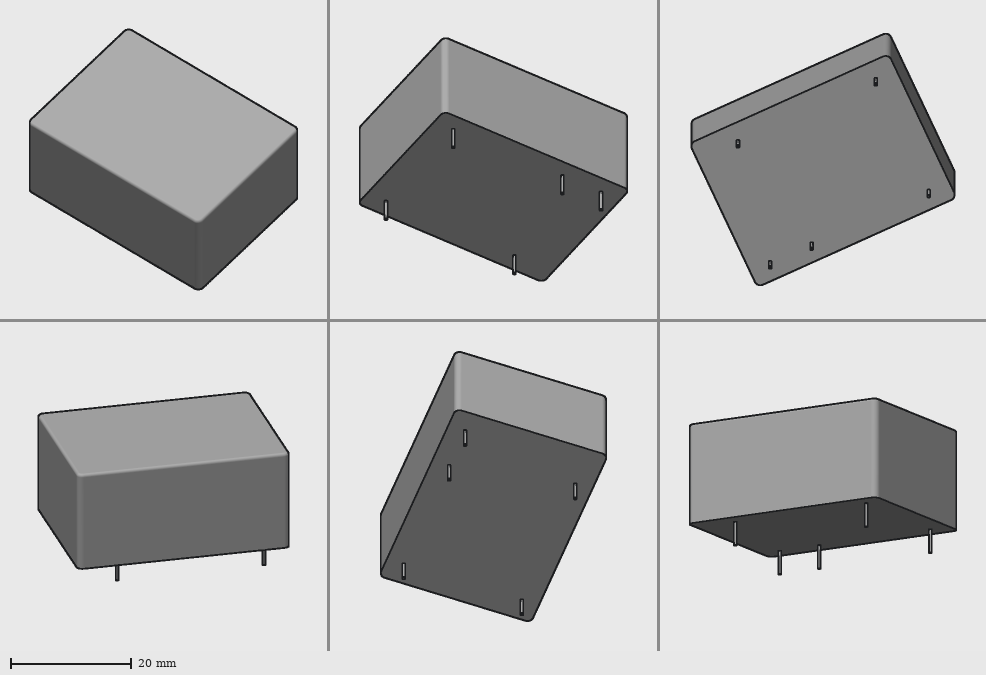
import cadquery as cq

LENGTH = 36.5
WIDTH = 27.0
TOTAL_HEIGHT = 21.1
PIN_LENGTH = 4.0
HOUSING_HEIGHT = TOTAL_HEIGHT - PIN_LENGTH

CORNER_RADIUS = 1.02
TOP_EDGE_RADIUS = 0.5

PIN_DIAMETER = 0.5
PIN_TIP_CHAMFER = 0.055
ROW_SPACING = 21.0
END_PIN_X = 14.53
PIN_PITCH = 3.8
FRONT_ROW_X = [-END_PIN_X, END_PIN_X - 2 * PIN_PITCH, END_PIN_X]
BACK_ROW_X = [-END_PIN_X, END_PIN_X - PIN_PITCH]


def make_housing():
    """Block standing on Z = 0 with rounded corners and a rounded top rim."""
    block = cq.Workplane("XY").box(LENGTH, WIDTH, HOUSING_HEIGHT, centered=(True, True, False))
    block = block.edges("|Z").fillet(CORNER_RADIUS)
    return block.faces(">Z").edges().fillet(TOP_EDGE_RADIUS)


def make_pin(x, y):
    """Round pin hanging from the underside of the housing, with a chamfered tip."""
    pin = cq.Workplane("XY").center(x, y).circle(PIN_DIAMETER / 2).extrude(-PIN_LENGTH)
    return pin.faces("<Z").chamfer(PIN_TIP_CHAMFER)


housing = make_housing()

pins = []
for row_y, row_x in [(-ROW_SPACING / 2, FRONT_ROW_X), (ROW_SPACING / 2, BACK_ROW_X)]:
    for pin_x in row_x:
        pins.append(make_pin(pin_x, row_y).val())

result = cq.Compound.makeCompound([housing.val(), *pins])